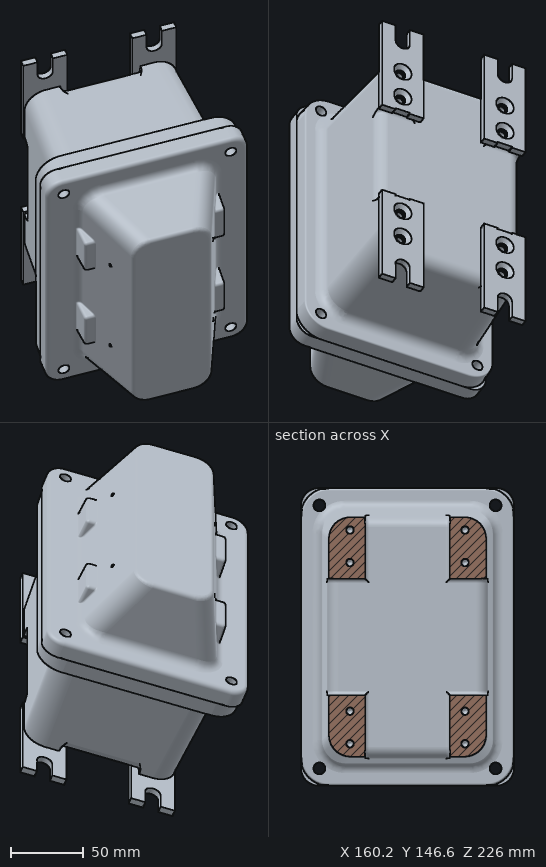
import cadquery as cq
import math

OVERALL_DEPTH = 160.2
OVERALL_HEIGHT = 226.0
DRAFT_ANGLE = 3.0
DRAFT_SLOPE = math.tan(math.radians(DRAFT_ANGLE))

PLATE_THICKNESS = 5.0
PLATE_WIDTH = 32.0
PLATE_LENGTH = 75.0
PLATE_OFFSET_Y = 39.5
SLOT_WIDTH = 11.0
SLOT_DEPTH = 18.5
NOTCH_DEPTH = 1.0
SCREW_HEIGHTS = (51.0, 73.5)
SCREW_HEAD_DIAMETER = 13.5
SCREW_CLEARANCE_DIAMETER = 7.2
COUNTERSINK_ANGLE = 90.0

HOUSING_BACK_HALF_WIDTH = 55.0
HOUSING_BACK_HALF_HEIGHT = 83.1
HOUSING_CORNER_RADIUS = 15.8
RECESS_DEPTH = 2.0
RECESS_EDGE_RADIUS = 8.1
ROLL_SHORTFALL = 4.0
LEAD_OUT_LENGTH = 2.3
PAD_INNER_Y = 29.1
PAD_INNER_Z = 40.0
PAD_EDGE_RADIUS = 1.4
PAD_ROOT_RADIUS = 3.0
HOUSING_ROOT_RADIUS = 6.8
PILOT_DIAMETER = 5.0
PILOT_DEPTH = 9.0
DRILL_POINT_ANGLE = 118.0

FLANGE_WIDTH = 146.6
FLANGE_HEIGHT = 204.7
FLANGE_BACK_X = 81.5
PARTING_X = 93.5
FLANGE_FRONT_X = 106.6
HOUSING_FLANGE_CORNER_RADIUS = 19.0
HOUSING_FLANGE_EDGE_RADIUS = 1.1
COVER_FLANGE_CORNER_RADIUS = 12.2
COVER_FLANGE_EDGE_RADIUS = 3.2
BOLT_DIAMETER = 8.0
BOLT_SPACING_Y = 121.0
BOLT_SPACING_Z = 180.7

COVER_BASE_HALF_WIDTH = 49.7
COVER_BASE_HALF_HEIGHT = 85.2
COVER_SIDE_ANGLE = 21.7
COVER_CORNER_RADIUS = 13.5
COVER_END_RADIUS = 3.2
COVER_ROOT_RADIUS = 6.3
LUG_HALF_WIDTH = 51.7
LUG_LENGTH = 29.8
LUG_DEPTH = 16.5
LUG_OFFSET_Z = 38.2
LUG_EDGE_RADIUS = 2.3
LUG_ROOT_RADIUS = 1.1
MARK_HOLE_DIAMETER = 2.2
MARK_HOLE_DEPTH = 4.5
MARK_HOLE_X = 137.5
MARK_HOLE_OFFSET_Z = 41.3

TOUCH_TOLERANCE = 0.0002
BACK_X = PLATE_THICKNESS
RECESS_X = BACK_X + RECESS_DEPTH


def tapered_block(x_start, x_end, start_half_sizes, end_half_sizes):
    """Four-sided block between two rectangles that lie across the X axis."""
    def trapezoid(plane, start_half, end_half):
        corners = [(x_start, -start_half), (x_end, -end_half), (x_end, end_half), (x_start, start_half)]
        return cq.Workplane(plane).polyline(corners).close().extrude(OVERALL_HEIGHT, both=True)

    start_y, start_z = start_half_sizes
    end_y, end_z = end_half_sizes
    return trapezoid("XY", start_y, end_y).intersect(trapezoid("XZ", start_z, end_z))


def meeting_edges(joined, first, second):
    """Edges of the joined shape that lie where its first and second parts meet."""
    def on_both(edge):
        middle = cq.Vertex.makeVertex(*edge.positionAt(0.5).toTuple())
        return all(part.val().distance(middle) < TOUCH_TOLERANCE for part in (first, second))

    return joined.newObject([edge for edge in joined.edges().vals() if on_both(edge)])


def join_with_fillet(first, second, radius):
    """Union of two parts of one body, with a fillet where they meet."""
    return meeting_edges(first.union(second), first, second).fillet(radius)


def rounded_flange(thickness, corner_radius, taper):
    """Rounded rectangle of the full flange size, extruded along X from the parting plane."""
    outline = cq.Sketch().rect(FLANGE_WIDTH, FLANGE_HEIGHT).vertices().fillet(corner_radius)
    return cq.Workplane("YZ", origin=(PARTING_X, 0, 0)).placeSketch(outline).extrude(thickness, taper=taper)


def bolt_holes():
    """Four cylinders that pass through both flanges."""
    return (
        cq.Workplane("YZ", origin=(FLANGE_BACK_X, 0, 0))
        .rect(BOLT_SPACING_Y, BOLT_SPACING_Z, forConstruction=True)
        .vertices()
        .circle(BOLT_DIAMETER / 2)
        .extrude(FLANGE_FRONT_X - FLANGE_BACK_X)
    )


def housing_half_sizes(x):
    """Half width and half height of the drafted housing body at x."""
    growth = (x - BACK_X) * DRAFT_SLOPE
    return HOUSING_BACK_HALF_WIDTH + growth, HOUSING_BACK_HALF_HEIGHT + growth


def housing_block():
    """Drafted housing body with rounded long edges and a rounded back face."""
    back_sizes = housing_half_sizes(BACK_X)
    flange_sizes = housing_half_sizes(FLANGE_BACK_X)
    block = tapered_block(BACK_X, FLANGE_BACK_X, back_sizes, flange_sizes)
    block = block.edges("not(|Y or |Z)").fillet(HOUSING_CORNER_RADIUS)
    return block.faces("<X").edges().fillet(PAD_EDGE_RADIUS)


def recess_cutter(plane, corner_distance, half_length):
    """Recess across the back, with its floor rolling over onto two opposite sides of the housing.

    corner_distance is from the middle to the sharp corner of the recess floor and a drafted side.
    The cutter stops at half_length on either side, with its ends rounded where they meet the floor.
    """
    roll_angle = math.radians(90 - DRAFT_ANGLE - ROLL_SHORTFALL)
    tangent_length = RECESS_EDGE_RADIUS * math.tan(math.radians(90 - DRAFT_ANGLE) / 2)
    floor_end = corner_distance - tangent_length

    def roll_point(angle):
        across = floor_end + RECESS_EDGE_RADIUS * math.sin(angle)
        return RECESS_X + RECESS_EDGE_RADIUS * (1 - math.cos(angle)), across

    roll_middle = roll_point(roll_angle / 2)
    roll_end = roll_point(roll_angle)
    lead_out = (
        roll_end[0] + LEAD_OUT_LENGTH * math.sin(roll_angle),
        roll_end[1] + LEAD_OUT_LENGTH * math.cos(roll_angle),
    )
    outer = corner_distance + RECESS_EDGE_RADIUS

    def mirrored(point):
        return point[0], -point[1]

    cutter = (
        cq.Workplane(plane)
        .moveTo(0, outer)
        .lineTo(lead_out[0], outer)
        .lineTo(*lead_out)
        .lineTo(*roll_end)
        .threePointArc(roll_middle, (RECESS_X, floor_end))
        .lineTo(RECESS_X, -floor_end)
        .threePointArc(mirrored(roll_middle), mirrored(roll_end))
        .lineTo(*mirrored(lead_out))
        .lineTo(lead_out[0], -outer)
        .lineTo(0, -outer)
        .close()
        .extrude(half_length, both=True)
    )
    return cutter.edges("%CIRCLE").fillet(PAD_ROOT_RADIUS)


def pilot_hole(y, z):
    """Blind drilled hole with a conical end, going into a pad from its face."""
    radius = PILOT_DIAMETER / 2
    tip_length = radius / math.tan(math.radians(DRILL_POINT_ANGLE / 2))
    profile = [(0, 0), (0, radius), (PILOT_DEPTH, radius), (PILOT_DEPTH + tip_length, 0)]
    return (
        cq.Workplane("XY", origin=(BACK_X, y, z)).polyline(profile).close().revolve(360, (0, 0), (1, 0))
    )


def make_housing():
    recess_half_width, recess_half_height = housing_half_sizes(RECESS_X)
    body = housing_block()
    body = body.cut(recess_cutter("XY", recess_half_width, PAD_INNER_Z))
    body = body.cut(recess_cutter("XZ", recess_half_height, PAD_INNER_Y))

    flange_thickness = PARTING_X - FLANGE_BACK_X
    flange = rounded_flange(-flange_thickness, HOUSING_FLANGE_CORNER_RADIUS, DRAFT_ANGLE)
    flange = flange.faces("<X").edges().fillet(HOUSING_FLANGE_EDGE_RADIUS)
    body = join_with_fillet(flange, body, HOUSING_ROOT_RADIUS).cut(bolt_holes())

    for y in (-PLATE_OFFSET_Y, PLATE_OFFSET_Y):
        for height in SCREW_HEIGHTS:
            for z in (-height, height):
                body = body.cut(pilot_hole(y, z))
    return body


def cover_half_sizes(x):
    """Half width and half height of the sloped hood at x."""
    length = x - FLANGE_FRONT_X
    half_width = COVER_BASE_HALF_WIDTH - length * math.tan(math.radians(COVER_SIDE_ANGLE))
    half_height = COVER_BASE_HALF_HEIGHT - length * DRAFT_SLOPE
    return half_width, half_height


def cover_hood():
    """Sloped hood in front of the cover flange, with rounded long edges and a rounded end."""
    base_sizes = cover_half_sizes(FLANGE_FRONT_X)
    end_sizes = cover_half_sizes(OVERALL_DEPTH)
    hood = tapered_block(FLANGE_FRONT_X, OVERALL_DEPTH, base_sizes, end_sizes)
    hood = hood.edges("not(|Y or |Z)").fillet(COVER_CORNER_RADIUS)
    return hood.faces(">X").edges().fillet(COVER_END_RADIUS)


def cover_lug_pair(z):
    """Bar across the hood, whose two ends stand out of the sloped sides as lugs."""
    bar = (
        cq.Workplane("YZ", origin=(FLANGE_FRONT_X, 0, z))
        .rect(2 * LUG_HALF_WIDTH, LUG_LENGTH)
        .extrude(LUG_DEPTH, taper=DRAFT_ANGLE)
    )
    return bar.edges("not <X").fillet(LUG_EDGE_RADIUS)


def mark_hole(side_y, z):
    """Small blind hole along Y into one sloped side, started clear of the surface."""
    surface_y = cover_half_sizes(MARK_HOLE_X)[0]
    return (
        cq.Workplane("XZ", origin=(0, side_y * (surface_y - MARK_HOLE_DEPTH), 0))
        .center(MARK_HOLE_X, z)
        .circle(MARK_HOLE_DIAMETER / 2)
        .extrude(-side_y * 2 * MARK_HOLE_DEPTH)
    )


def make_cover():
    flange = rounded_flange(FLANGE_FRONT_X - PARTING_X, COVER_FLANGE_CORNER_RADIUS, 0)
    flange = flange.faces(">X").edges().fillet(COVER_FLANGE_EDGE_RADIUS)
    cover = join_with_fillet(flange, cover_hood(), COVER_ROOT_RADIUS)
    for z in (-LUG_OFFSET_Z, LUG_OFFSET_Z):
        cover = join_with_fillet(cover, cover_lug_pair(z), LUG_ROOT_RADIUS)
    for side_y in (-1, 1):
        for z in (-MARK_HOLE_OFFSET_Z, MARK_HOLE_OFFSET_Z):
            cover = cover.cut(mark_hole(side_y, z))
    return cover.cut(bolt_holes())


def make_plate(side_y, side_z):
    """One plate, shaped for the +Z half and mirrored for the other."""
    top = OVERALL_HEIGHT / 2
    bottom = top - PLATE_LENGTH
    half_slot = SLOT_WIDTH / 2
    arc_z = top - SLOT_DEPTH + half_slot
    plate = (
        cq.Workplane("YZ")
        .moveTo(-PLATE_WIDTH / 2, top)
        .lineTo(-half_slot, top)
        .lineTo(-half_slot, arc_z)
        .threePointArc((0, top - SLOT_DEPTH), (half_slot, arc_z))
        .lineTo(half_slot, top)
        .lineTo(PLATE_WIDTH / 2, top)
        .lineTo(PLATE_WIDTH / 2, bottom)
        .lineTo(half_slot, bottom)
        .lineTo(half_slot, bottom + NOTCH_DEPTH)
        .lineTo(-half_slot, bottom + NOTCH_DEPTH)
        .lineTo(-half_slot, bottom)
        .lineTo(-PLATE_WIDTH / 2, bottom)
        .close()
        .extrude(PLATE_THICKNESS)
    )
    plate = (
        plate.faces("<X")
        .workplane(origin=(0, 0, 0))
        .pushPoints([(0, height) for height in SCREW_HEIGHTS])
        .cskHole(SCREW_CLEARANCE_DIAMETER, SCREW_HEAD_DIAMETER, COUNTERSINK_ANGLE)
    )
    if side_z < 0:
        plate = plate.mirror("XY")
    return plate.translate((0, side_y * PLATE_OFFSET_Y, 0))


housing = make_housing()
cover = make_cover()
plates = [make_plate(side_y, side_z) for side_y in (-1, 1) for side_z in (-1, 1)]

result = cq.Compound.makeCompound([housing.val(), cover.val(), *[plate.val() for plate in plates]])